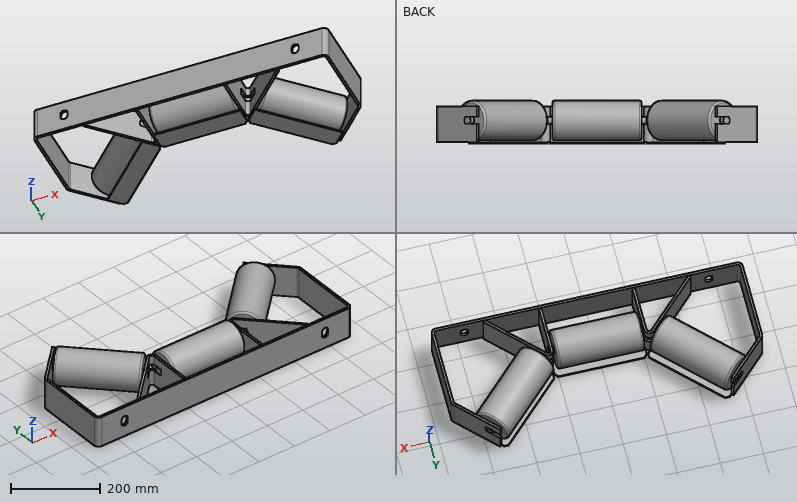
import cadquery as cq
import math

STRIP = 6.0
BEND = 2 * STRIP
HEIGHT = 80.0
FRAME_WIDTH = 720.0

ROLLER_RADIUS = 45.0
ROLLER_LENGTH = 200.0
ROLLER_ROUND = 5.0
AXLE_RADIUS = 10.0
AXLE_FLATS = 16.0
DRUM_CLEARANCE = 3.95
AXIS_Z = ROLLER_RADIUS + DRUM_CLEARANCE
END_GAP = 5.0
NECK = END_GAP / 2
SUPPORT = ROLLER_LENGTH / 2 + END_GAP
AXLE_LENGTH = 2 * (SUPPORT + STRIP)

TILT = 45.0
CENTRE_Y = 100.0
SIDE_X = 212.5
SIDE_Y = 186.5
STATIONS = [(0, CENTRE_Y, 0), (-SIDE_X, SIDE_Y, -TILT), (SIDE_X, SIDE_Y, TILT)]
AXIS_DIR = math.cos(math.radians(TILT))

ARM_TOP = 29.5

MOUNT_X = 283.0
MOUNT_Z = 42.0
MOUNT_WIDTH = 17.0
MOUNT_HEIGHT = 26.0

GUARD_THICK = 4.0
GUARD_LENGTH = 213.0
GUARD_FRONT = 43.0
GUARD_BACK = 3.0
GUARD_CHAMFER = 7.0
GUARD_SHIFT = 2.0


def at_side(along, across):
    """Point on the left side, measured from mid-roller along its axis (outward) and across it (+Y side)."""
    return (
        -SIDE_X + (across - along) * AXIS_DIR,
        SIDE_Y + (across + along) * AXIS_DIR,
    )


def place(body, station):
    """Move a body from the origin to a roller station."""
    x, y, turn = station
    return body.rotate((0, 0, 0), (0, 0, 1), turn).translate((x, y, 0))


def cylinder(radius, length):
    """Cylinder along X at axle height, centred on the YZ plane."""
    return cq.Workplane("YZ", origin=(-length / 2, 0, AXIS_Z)).circle(radius).extrude(length)


def axle_bar(length):
    """Round bar with flats above and below; the axle and the bottoms of its slots share this section."""
    flats = cq.Workplane("XY").box(length, 2 * AXLE_RADIUS, AXLE_FLATS).translate((0, 0, AXIS_Z))
    return cylinder(AXLE_RADIUS, length).intersect(flats)


def slot_cutter():
    """Axle slots at both supports of one roller, open toward +Y and long enough to clear the strip bends."""
    length = 2 * (SUPPORT + BEND)
    reach = 2 * ROLLER_RADIUS
    opening = cq.Workplane("XY").box(length, reach, AXLE_FLATS, centered=(True, False, True))
    return axle_bar(length).union(opening.translate((0, 0, AXIS_Z)))


def round_bends(strip, corners, radius):
    """Round the vertical edges that stand at the given corners."""
    for x, y in corners:
        edge = cq.selectors.NearestToPointSelector((x, y, HEIGHT / 2))
        strip = strip.edges(edge).fillet(radius)
    return strip


def half_path(half_width, back_y, arm_face):
    """Left half of one face of the frame strip: arm end, shoulder and back corner."""
    end_x, end_y = at_side(arm_face, ARM_TOP)
    shoulder_y = end_y - (end_x + half_width)
    return [(end_x, end_y), (-half_width, shoulder_y), (-half_width, back_y)]


def mirrored(points):
    """The same points on the +X side, in reverse order."""
    return [(-x, y) for x, y in reversed(points)]


def make_frame():
    """Bent strip around the back and sides, with sloping arms that carry the outer axle ends."""
    half_width = FRAME_WIDTH / 2
    outer = half_path(half_width, 0, SUPPORT + STRIP)
    inner = half_path(half_width - STRIP, STRIP, SUPPORT)
    inner_face = inner + mirrored(inner)
    outline = outer + mirrored(outer) + inner_face[::-1]
    frame = cq.Workplane("XY").polyline(outline).close().extrude(HEIGHT)
    for path, radius in ((outer, BEND), (inner, BEND - STRIP)):
        corners = path[1:]
        frame = round_bends(frame, corners + mirrored(corners), radius)

    mounts = (
        cq.Workplane("XZ").pushPoints([(-MOUNT_X, MOUNT_Z), (MOUNT_X, MOUNT_Z)])
        .slot2D(MOUNT_HEIGHT, MOUNT_WIDTH, 90).extrude(-STRIP)
    )
    frame = frame.cut(mounts)
    for station in STATIONS[1:]:
        frame = frame.cut(place(slot_cutter(), station))
    return frame


def make_left_bracket():
    """Folded strip: an upright leg beside the centre roller and a sloping leg beside the side roller."""
    leg_x = -SUPPORT
    top_x, top_y = at_side(-SUPPORT, 0)
    slope_rise = top_y - top_x
    lower_rise = slope_rise - STRIP / AXIS_DIR
    inner_x = leg_x - STRIP
    foot_x = STRIP - lower_rise
    step = STRIP * AXIS_DIR
    outer_corner = (leg_x, leg_x + slope_rise)
    inner_corner = (inner_x, inner_x + lower_rise)
    outline = [
        (leg_x, STRIP), outer_corner, (foot_x - step, STRIP + step),
        (foot_x, STRIP), inner_corner, (inner_x, STRIP),
    ]
    bracket = cq.Workplane("XY").polyline(outline).close().extrude(HEIGHT)
    bracket = round_bends(bracket, [outer_corner], BEND)
    bracket = round_bends(bracket, [inner_corner], BEND - STRIP)
    for station in STATIONS[:2]:
        bracket = bracket.cut(place(slot_cutter(), station))
    return bracket


def make_roller(station):
    """Drum with rounded rims, round necks and flatted axle ends flush with the supports' far faces."""
    drum = cylinder(ROLLER_RADIUS, ROLLER_LENGTH).faces("<X or >X").edges().fillet(ROLLER_ROUND)
    necks = cylinder(AXLE_RADIUS, ROLLER_LENGTH + 2 * NECK)
    return place(drum.union(necks).union(axle_bar(AXLE_LENGTH)), station)


def make_guard(station):
    """Flat plate against the underside of the supports, with its two +Y corners cut off."""
    x = station[0]
    inward = -math.copysign(GUARD_SHIFT, x) if x else 0
    plate = (
        cq.Workplane("XY")
        .box(GUARD_LENGTH, GUARD_FRONT + GUARD_BACK, GUARD_THICK, centered=(True, False, False))
        .translate((inward, -GUARD_BACK, -GUARD_THICK))
        .edges("|Z and >Y").chamfer(GUARD_CHAMFER)
    )
    return place(plate, station)


frame = make_frame()
left_bracket = make_left_bracket()
brackets = [left_bracket, left_bracket.mirror("YZ")]
rollers = [make_roller(station) for station in STATIONS]
guards = [make_guard(station) for station in STATIONS]

result = cq.Compound.makeCompound([body.val() for body in [frame, *brackets, *rollers, *guards]])